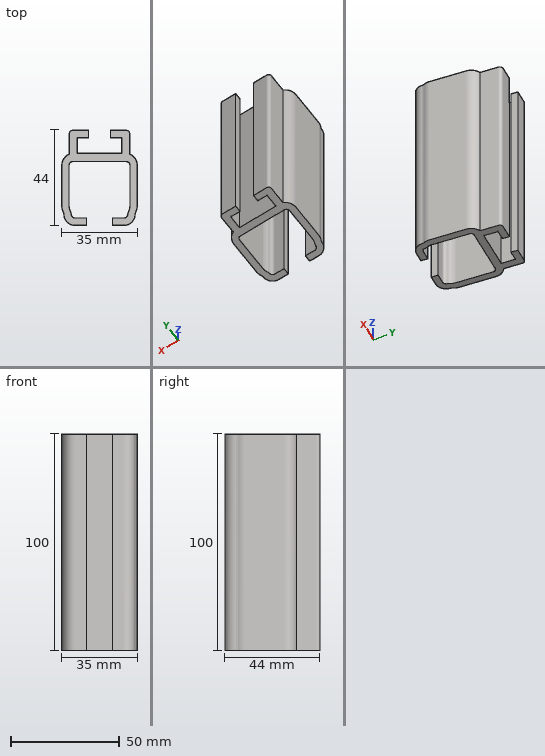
import cadquery as cq
import math

length = 100.0
depth = 44.0
half_width = 17.5

channel_half_width = 14.0
channel_corner_radius = 1.6
slot_half_width = 10.2
slot_mouth_half_width = 5.0
slot_lip_thickness = 3.5
slot_floor_y = 33.4

web_thickness = 3.9
chamber_half_width = 14.0
chamber_corner_radius = 1.7
shoulder_radius = 6.0
shoulder_center_y = 27.6

mouth_half_width = 6.0
flange_thickness = 3.5
foot_radius = 5.2
foot_center_x = 11.3
inner_foot_radius = foot_radius - flange_thickness
bend_start_y = 8.8
bend_end_y = 6.1
outer_bend_end_x = 16.7
inner_bend_end_x = 13.2
bend_bulge = 0.15

shoulder_center_x = half_width - shoulder_radius
shoulder_end_y = shoulder_center_y + math.sqrt(
    shoulder_radius**2 - (channel_half_width - shoulder_center_x) ** 2
)
chamber_top_y = slot_floor_y - web_thickness


def arc_point(center_x, center_y, radius, degrees):
    """Point on a circle at the given angle from +X."""
    angle = math.radians(degrees)
    return center_x + radius * math.cos(angle), center_y + radius * math.sin(angle)


def bend_middle(straight_x, end_x):
    """Middle point of the slightly bulged arc below a straight wall."""
    return (straight_x + end_x) / 2 + bend_bulge, (bend_start_y + bend_end_y) / 2


def half_profile():
    """Closed outline of the +X half, from the slot floor around to the web underside."""
    outline = cq.Workplane("XY").moveTo(0, slot_floor_y)

    outline = (
        outline.lineTo(slot_half_width, slot_floor_y)
        .lineTo(slot_half_width, depth - slot_lip_thickness)
        .lineTo(slot_mouth_half_width, depth - slot_lip_thickness)
        .lineTo(slot_mouth_half_width, depth)
        .lineTo(channel_half_width - channel_corner_radius, depth)
        .radiusArc((channel_half_width, depth - channel_corner_radius), channel_corner_radius)
        .lineTo(channel_half_width, shoulder_end_y)
    )

    outline = (
        outline.radiusArc((half_width, shoulder_center_y), shoulder_radius)
        .lineTo(half_width, bend_start_y)
        .threePointArc(bend_middle(half_width, outer_bend_end_x), (outer_bend_end_x, bend_end_y))
        .lineTo(foot_center_x + foot_radius, foot_radius)
        .threePointArc(
            arc_point(foot_center_x, foot_radius, foot_radius, -45),
            (foot_center_x, 0),
        )
        .lineTo(mouth_half_width, 0)
    )

    outline = (
        outline.lineTo(mouth_half_width, flange_thickness)
        .lineTo(foot_center_x, flange_thickness)
        .threePointArc(
            arc_point(foot_center_x, foot_radius, inner_foot_radius, -45),
            (foot_center_x + inner_foot_radius, foot_radius),
        )
        .lineTo(inner_bend_end_x, bend_end_y)
        .threePointArc(
            bend_middle(chamber_half_width, inner_bend_end_x),
            (chamber_half_width, bend_start_y),
        )
        .lineTo(chamber_half_width, chamber_top_y - chamber_corner_radius)
        .radiusArc(
            (chamber_half_width - chamber_corner_radius, chamber_top_y),
            -chamber_corner_radius,
        )
        .lineTo(0, chamber_top_y)
    )
    return outline.close()


half_rail = half_profile().extrude(length)
result = half_rail.union(half_rail.mirror("YZ")).clean()